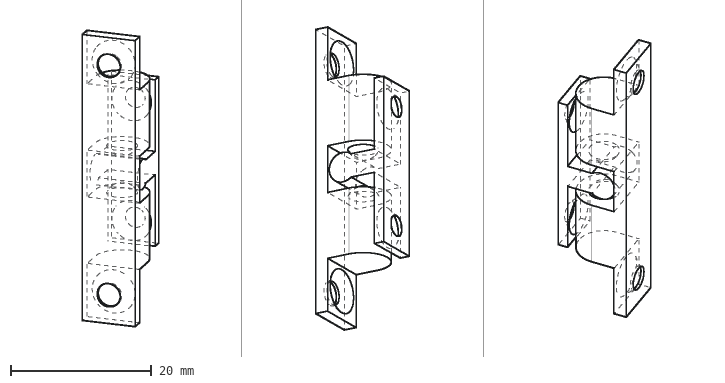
import cadquery as cq

countersink_depth = 1.5

plate_length = 43.0
width = 8.0
plate_thickness = 1.98
plate_hole_diameter = 3.5
plate_hole_spacing = 34.5

barrel_length = 9.98
barrel_gap = 7.05
barrel_radius = width / 2
barrel_axis_y = 5.5
barrel_back_y = barrel_axis_y + barrel_radius

ball_radius = 2.4
ball_protrusion = 1.4
ball_center_z = barrel_gap / 2 - ball_protrusion + ball_radius

overall_depth = 11.0
strike_length = 25.03
strike_width = 7.2
strike_thickness = countersink_depth
strike_front_y = overall_depth - strike_thickness
strike_hole_diameter = 3.0
strike_hole_spacing = 18.0
tongue_thickness = 3.53
bulb_radius = 2.25
bulb_clearance = 0.05
bulb_center_y = plate_thickness + bulb_clearance + bulb_radius


def block(size_x, y_start, y_end, size_z):
    """Box centred on X and Z, reaching from y_start to y_end."""
    depth = y_end - y_start
    return cq.Workplane("XY").box(size_x, depth, size_z).translate((0, y_start + depth / 2, 0))


def screw_hole_cutters(diameter, front_y, head_y, back_y, spacing):
    """Two screw hole cutters along Y, with the wide end of the countersink at head_y."""
    hole_radius = diameter / 2
    head_radius = hole_radius + countersink_depth
    toward_hole = 1 if head_y == front_y else -1
    cone_end_y = head_y + toward_hole * countersink_depth
    cone = (
        cq.Workplane("XY")
        .moveTo(0, head_y)
        .lineTo(head_radius, head_y)
        .lineTo(hole_radius, cone_end_y)
        .lineTo(0, cone_end_y)
        .close()
        .revolve(360, (0, 0, 0), (0, 1, 0))
    )
    shank = cq.Workplane("XZ", origin=(0, front_y, 0)).circle(hole_radius).extrude(front_y - back_y)
    cutter = shank.union(cone)
    return [cutter.translate((0, 0, z)) for z in (-spacing / 2, spacing / 2)]


def make_barrel(z_start):
    """D-shaped column, flat on the plate and round at the back."""
    return (
        cq.Workplane("XY", origin=(0, 0, z_start))
        .moveTo(-barrel_radius, 0)
        .lineTo(barrel_radius, 0)
        .lineTo(barrel_radius, barrel_axis_y)
        .threePointArc((0, barrel_back_y), (-barrel_radius, barrel_axis_y))
        .close()
        .extrude(barrel_length)
    )


def make_housing():
    body = block(width, 0, plate_thickness, plate_length)
    cutters = screw_hole_cutters(
        plate_hole_diameter, 0, plate_thickness, plate_thickness, plate_hole_spacing
    )
    for cutter in cutters:
        body = body.cut(cutter)
    for barrel_start_z in (barrel_gap / 2, -barrel_gap / 2 - barrel_length):
        body = body.union(make_barrel(barrel_start_z))
    for ball_z in (-ball_center_z, ball_center_z):
        ball = cq.Workplane("XY").sphere(ball_radius).translate((0, barrel_axis_y, ball_z))
        body = body.union(ball)
    return body


def make_strike():
    plate = block(strike_width, strike_front_y, overall_depth, strike_length)
    cutters = screw_hole_cutters(
        strike_hole_diameter, strike_front_y, strike_front_y, overall_depth, strike_hole_spacing
    )
    for cutter in cutters:
        plate = plate.cut(cutter)
    tongue = block(strike_width, bulb_center_y, strike_front_y, tongue_thickness)
    bulb = (
        cq.Workplane("YZ", origin=(-strike_width / 2, 0, 0))
        .center(bulb_center_y, 0)
        .circle(bulb_radius)
        .extrude(strike_width)
    )
    return plate.union(tongue).union(bulb)


housing = make_housing()
strike = make_strike()

result = cq.Compound.makeCompound([housing.solids().val(), strike.solids().val()])